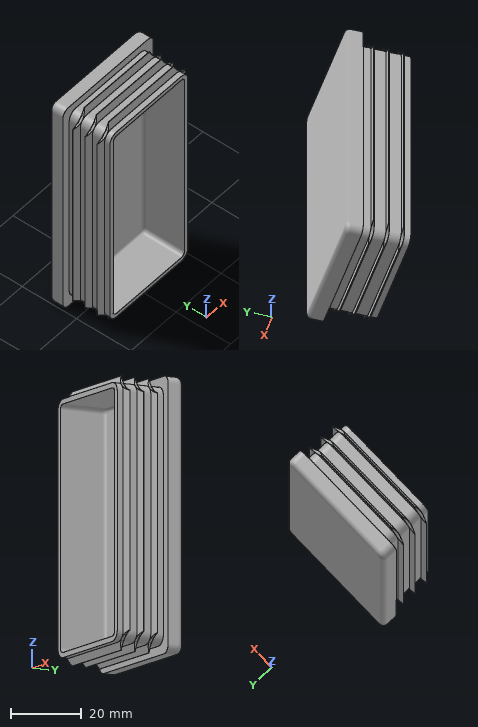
import cadquery as cq
import math

width = 40.0
depth = 20.0
height = 80.0

head_thickness = 5.0
head_corner_radius = 2.5
head_edge_radius = 1.5

plug_inset = 2.7
plug_corner_radius = 3.0
wall = 1.5
floor_fillet = 1.0

fin_inset = 0.5
fin_root_thickness = 1.0
fin_tip_thickness = 0.1
fin_count = 3
first_fin_setback = 8.2
fin_pitch = 4.5
fin_end_overrun = 0.2

back_y = depth / 2
front_y = -depth / 2
head_front_y = back_y - head_thickness
plug_width = width - 2 * plug_inset
plug_height = height - 2 * plug_inset
fin_width = width - 2 * fin_inset
fin_height = height - 2 * fin_inset
fin_reach = plug_inset - fin_inset


def block(x_size, z_size, y_from, y_to):
    """Box centred on the Y axis between two Y positions."""
    return cq.Workplane("XY").box(x_size, y_to - y_from, z_size).translate((0, (y_from + y_to) / 2, 0))


def make_head():
    head = block(width, height, head_front_y, back_y).edges("|Y").fillet(head_corner_radius)
    return head.faces(">Y").edges().fillet(head_edge_radius)


def make_plug():
    return block(plug_width, plug_height, front_y, head_front_y).edges("|Y").fillet(plug_corner_radius)


def make_cavity():
    cavity = block(plug_width - 2 * wall, plug_height - 2 * wall, front_y, head_front_y)
    cavity = cavity.edges("|Y").fillet(plug_corner_radius - wall)
    return cavity.faces(">Y").edges().fillet(floor_fillet)


def make_fin_corner_cutter():
    """Profile removed at the +X +Z corner: a concave arc that touches the rounded corner of the plug."""
    tip_x = fin_width / 2
    tip_z = fin_height / 2
    bend_x = plug_width / 2 - plug_corner_radius
    bend_z = plug_height / 2 - plug_corner_radius
    touch = plug_corner_radius * math.sqrt(0.5)
    fin_end_x = bend_x + fin_end_overrun
    fin_end_z = bend_z + fin_end_overrun
    return (
        cq.Workplane("XZ", origin=(0, back_y, 0))
        .moveTo(tip_x, fin_end_z)
        .threePointArc((bend_x + touch, bend_z + touch), (fin_end_x, tip_z))
        .lineTo(fin_end_x, height)
        .lineTo(width, height)
        .lineTo(width, fin_end_z)
        .close()
        .extrude(depth)
    )


def make_fin(flat_y):
    """Fin with a flat side facing the head and a sloping side that thins towards the tip."""
    tip_outline = cq.Sketch().rect(fin_width, fin_height).vertices().fillet(plug_corner_radius + fin_reach)
    root_outline = cq.Sketch().rect(plug_width, plug_height).vertices().fillet(plug_corner_radius)
    slope_depth = fin_root_thickness - fin_tip_thickness
    front = cq.Workplane("XZ", origin=(0, flat_y, 0))
    tip = front.placeSketch(tip_outline).extrude(fin_tip_thickness)
    slope = (
        front.workplane(offset=fin_tip_thickness)
        .placeSketch(tip_outline, root_outline.moved(cq.Location(cq.Vector(0, 0, slope_depth))))
        .loft(ruled=True)
    )
    return tip.union(slope)


corner_cutter = make_fin_corner_cutter()
corner_cutter = corner_cutter.union(corner_cutter.mirror("YZ"))
corner_cutter = corner_cutter.union(corner_cutter.mirror("XY"))

result = make_head().union(make_plug())
for index in range(fin_count):
    flat_y = back_y - first_fin_setback - index * fin_pitch
    result = result.union(make_fin(flat_y).cut(corner_cutter))
result = result.cut(make_cavity())